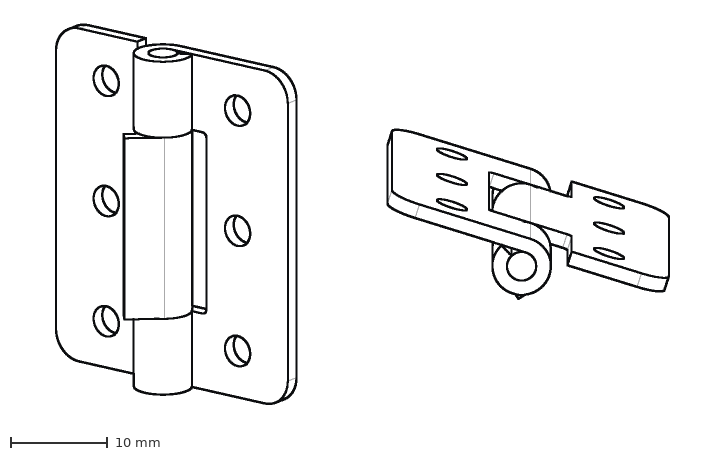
import cadquery as cq
import math

height = 36.0
width = 30.0
pin_radius = 1.5
thickness = 1.5
corner_radius = 3.0
tongue_height = 19.6
side_clearance = 1.45
notch_radius = 0.5
hole_diameter = 3.25
hole_offset = 8.5
hole_pitch = 13.0
curl_end_angle = 29.0
tongue_bend_angle = -50.0
tongue_tail_length = 4.15

roll_radius = pin_radius + thickness
knuckle_height = (height - tongue_height) / 2
inner_edge = roll_radius + side_clearance


def polar(radius, degrees):
    """Point in the XY plane around the pin axis."""
    angle = math.radians(degrees)
    return (radius * math.cos(angle), radius * math.sin(angle))


def make_plate(side):
    """Flat part of a leaf on the side -1 (left) or +1 (right), with screw holes."""
    plate_width = width / 2 - inner_edge
    plate = (
        cq.Workplane("XY")
        .box(plate_width, thickness, height)
        .translate((side * (inner_edge + plate_width / 2), pin_radius + thickness / 2, 0))
    )
    outer_side = ">X" if side > 0 else "<X"
    plate = plate.faces(outer_side).edges("|Y").fillet(corner_radius)
    holes = (
        cq.Workplane("XZ")
        .pushPoints([(side * hole_offset, row * hole_pitch) for row in (-1, 0, 1)])
        .circle(hole_diameter / 2)
        .extrude(roll_radius, both=True)
    )
    return plate.cut(holes)


def round_inner_corners(leaf, side):
    """Fillet the two concave corners where the plate edge meets its rolled strips."""
    reach = 0.05
    picker = cq.selectors.BoxSelector(
        (side * inner_edge - reach, pin_radius - reach, -tongue_height / 2 - reach),
        (side * inner_edge + reach, roll_radius + reach, tongue_height / 2 + reach),
    )
    return leaf.edges("|Y").edges(picker).fillet(notch_radius)


def make_knuckle_leaf():
    """Right leaf, with a knuckle rolled around the pin at each end."""
    middle_angle = (90 + 360 + curl_end_angle) / 2
    profile = (
        cq.Workplane("XY")
        .moveTo(inner_edge, roll_radius)
        .lineTo(0, roll_radius)
        .threePointArc(polar(roll_radius, middle_angle), polar(roll_radius, curl_end_angle))
        .lineTo(*polar(pin_radius, curl_end_angle))
        .threePointArc(polar(pin_radius, middle_angle), (0, pin_radius))
        .lineTo(inner_edge, pin_radius)
        .close()
        .extrude(knuckle_height)
    )
    leaf = make_plate(1)
    for base in (-height / 2, tongue_height / 2):
        leaf = leaf.union(profile.translate((0, 0, base)))
    return round_inner_corners(leaf.clean(), 1)


def make_tongue_leaf():
    """Left leaf, whose tongue wraps over the pin and ends in a straight tail."""
    middle_angle = (90 + tongue_bend_angle) / 2
    tail_x, tail_y = polar(tongue_tail_length, tongue_bend_angle - 90)
    outer_x, outer_y = polar(roll_radius, tongue_bend_angle)
    inner_x, inner_y = polar(pin_radius, tongue_bend_angle)
    tongue = (
        cq.Workplane("XY")
        .moveTo(-inner_edge, roll_radius)
        .lineTo(0, roll_radius)
        .threePointArc(polar(roll_radius, middle_angle), (outer_x, outer_y))
        .lineTo(outer_x + tail_x, outer_y + tail_y)
        .lineTo(inner_x + tail_x, inner_y + tail_y)
        .lineTo(inner_x, inner_y)
        .threePointArc(polar(pin_radius, middle_angle), (0, pin_radius))
        .lineTo(-inner_edge, pin_radius)
        .close()
        .extrude(tongue_height / 2, both=True)
    )
    return round_inner_corners(make_plate(-1).union(tongue).clean(), -1)


def make_pin():
    """Plain pin running the full height of the hinge."""
    return cq.Workplane("XY", origin=(0, 0, -height / 2)).circle(pin_radius).extrude(height)


knuckle_leaf = make_knuckle_leaf()
tongue_leaf = make_tongue_leaf()
pin = make_pin()

result = cq.Compound.makeCompound([knuckle_leaf.solids().val(), tongue_leaf.solids().val(), pin.val()])